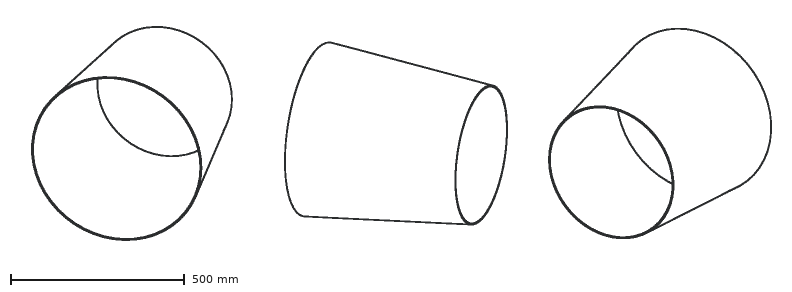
import cadquery as cq

length = 508.0
large_diameter = 508.0
small_diameter = 406.5
wall = 4.0

large_radius = large_diameter / 2
small_radius = small_diameter / 2

wall_section = (
    cq.Workplane("XY")
    .moveTo(large_radius, 0)
    .lineTo(small_radius, length)
    .lineTo(small_radius - wall, length)
    .lineTo(large_radius - wall, 0)
    .close()
)

result = wall_section.revolve(360, (0, 0, 0), (0, 1, 0))